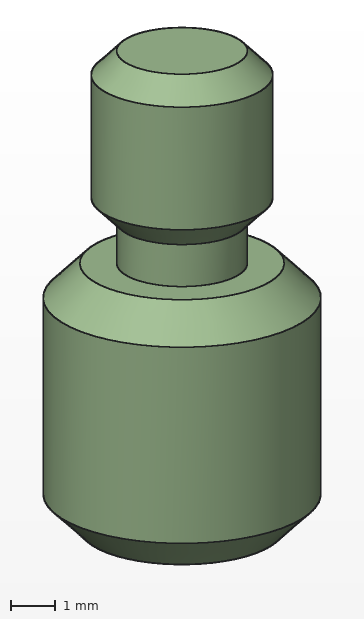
import cadquery as cq

total_height = 11.43
body_height = 6.34
neck_height = 1.01

body_diameter = 6.22
head_diameter = 4.07
neck_diameter = 2.93

body_chamfer = 0.82
head_chamfer = (head_diameter - neck_diameter) / 2

head_base = body_height + neck_height
head_height = total_height - head_base


def chamfered_cylinder(diameter, height, base, chamfer):
    """Upright cylinder starting at the given base, with both rims chamfered."""
    cylinder = cq.Workplane("XY").workplane(offset=base).circle(diameter / 2).extrude(height)
    return cylinder.edges("%CIRCLE").chamfer(chamfer)


body = chamfered_cylinder(body_diameter, body_height, 0, body_chamfer)
head = chamfered_cylinder(head_diameter, head_height, head_base, head_chamfer)
neck = cq.Workplane("XY").workplane(offset=body_height).circle(neck_diameter / 2).extrude(neck_height)

result = body.union(neck).union(head)